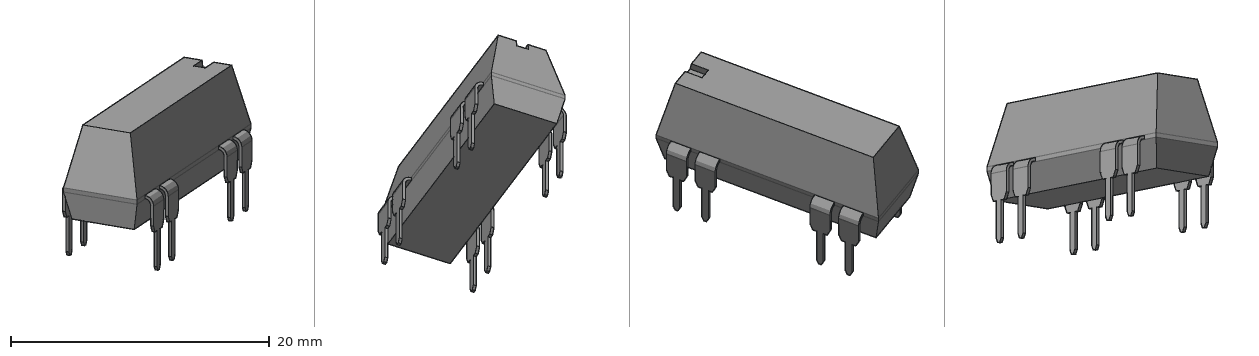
import cadquery as cq

body_length = 19.69
body_width = 6.36
body_height = 7.64
band_bottom = 2.3
band_height = 0.35
band_top = band_bottom + band_height
bottom_inset = 0.5
top_end_inset = 1.08
top_side_inset = 1.12

notch_width = 1.0
notch_length = 1.5
notch_depth = 0.6

overall_width = 7.88
overall_height = 11.3
lead_thickness = 0.25
lead_pitch = 2.54
lead_steps = (-3, -2, 2, 3)
shoulder_width = 1.77
shoulder_end_width = 1.26
shoulder_taper_height = 0.55
shoulder_bottom = -0.35
pin_width = 0.6
tip_width = 0.24
tip_height = 0.35

lead_top = band_bottom + (band_height + lead_thickness) / 2
lead_bottom = body_height - overall_height
bend_outer_radius = (overall_width - body_width) / 2
bend_inner_radius = bend_outer_radius - lead_thickness


def drafted_block(z_start, z_end, side_inset, end_inset):
    """Loft from the full band outline at z_start to an inset outline at z_end."""
    return (
        cq.Workplane("XY", origin=(0, 0, z_start))
        .rect(body_width, body_length)
        .workplane(offset=z_end - z_start)
        .rect(body_width - 2 * side_inset, body_length - 2 * end_inset)
        .loft(ruled=True)
    )


def make_notch():
    """Cutter for the index notch, open at the sloping +Y end."""
    inner_end = body_length / 2 - top_end_inset - notch_length
    return cq.Workplane("XY", origin=(0, 0, body_height - notch_depth)).box(
        notch_width, body_length / 2 - inner_end, notch_depth, centered=(True, False, False)
    ).translate((0, inner_end, 0))


def make_housing():
    band = cq.Workplane("XY", origin=(0, 0, band_bottom)).box(
        body_width, body_length, band_height, centered=(True, True, False)
    )
    upper = drafted_block(band_top, body_height, top_side_inset, top_end_inset)
    lower = drafted_block(band_bottom, 0, bottom_inset, bottom_inset)
    return band.union(upper).union(lower).cut(make_notch())


def make_bent_strip():
    """Full-width strip on the +X side: quarter bend from the band, then straight down."""
    face_x = body_width / 2
    outer_x = overall_width / 2
    inner_x = outer_x - lead_thickness
    bend_z = lead_top - bend_outer_radius
    diagonal = 0.5**0.5
    return (
        cq.Workplane("XZ")
        .moveTo(face_x, lead_top)
        .threePointArc(
            (face_x + bend_outer_radius * diagonal, bend_z + bend_outer_radius * diagonal),
            (outer_x, bend_z),
        )
        .lineTo(outer_x, lead_bottom)
        .lineTo(inner_x, lead_bottom)
        .lineTo(inner_x, bend_z)
        .threePointArc(
            (face_x + bend_inner_radius * diagonal, bend_z + bend_inner_radius * diagonal),
            (face_x, lead_top - lead_thickness),
        )
        .close()
        .extrude(shoulder_width / 2, both=True)
    )


def make_lead_outline():
    """Front outline of a lead: wide shoulder, tapered to a narrow pin with a pointed tip."""
    right_edge = [
        (shoulder_width / 2, lead_top),
        (shoulder_width / 2, shoulder_bottom + shoulder_taper_height),
        (shoulder_end_width / 2, shoulder_bottom),
        (pin_width / 2, shoulder_bottom),
        (pin_width / 2, lead_bottom + tip_height),
        (tip_width / 2, lead_bottom),
    ]
    left_edge = [(-y, z) for y, z in reversed(right_edge)]
    return cq.Workplane("YZ").polyline(right_edge + left_edge).close().extrude(overall_width / 2)


def make_leads():
    right_lead = make_bent_strip().intersect(make_lead_outline())
    left_lead = right_lead.mirror("YZ")
    leads = []
    for step in lead_steps:
        for lead in (right_lead, left_lead):
            leads.append(lead.translate((0, step * lead_pitch, 0)).val())
    return leads


housing = make_housing()
leads = make_leads()

result = cq.Compound.makeCompound([housing.val(), *leads])